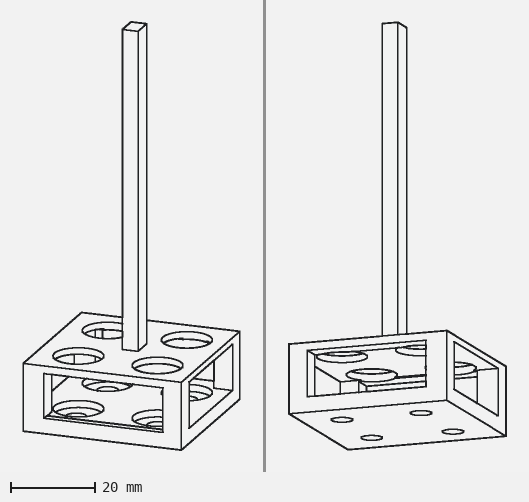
import cadquery as cq

base_side = 40.0
base_height = 17.0
total_height = 97.0

y_window_width = 30.0
y_window_centre_x = 0.3
y_window_floor = 3.8
y_window_ceiling = 15.0

sill_height = 0.1
sill_depth = 2.1

x_window_width = 29.5
x_window_centre_y = 0.2
x_window_floor = y_window_floor
x_window_ceiling = 15.3

seat_diameter = 12.0
seat_floor = 2.0
seat_spacing = 20.0
seat_pattern_x = 0.4
seat_pattern_y = -0.3
drain_diameter = 5.0
corner_drain_shift_x = -0.3
corner_drain_shift_y = -0.8

post_width = 4.0
post_depth = 6.0
post_x = 0.5
post_y = 0.8


def upright_box(size_x, size_y, bottom, top, x=0, y=0):
    """Box centred at (x, y) that spans Z from bottom to top."""
    height = top - bottom
    return cq.Workplane("XY").box(size_x, size_y, height).translate((x, y, bottom + height / 2))


def upright_cylinder(diameter, bottom, top, x, y):
    """Vertical cylinder at (x, y) that spans Z from bottom to top."""
    return cq.Workplane("XY", origin=(x, y, bottom)).circle(diameter / 2).extrude(top - bottom)


frame = upright_box(base_side, base_side, 0, base_height)
frame = frame.cut(
    upright_box(y_window_width, base_side, y_window_floor, y_window_ceiling, x=y_window_centre_x)
)
frame = frame.cut(
    upright_box(base_side, x_window_width, x_window_floor, x_window_ceiling, y=x_window_centre_y)
)

sill = upright_box(
    y_window_width,
    sill_depth,
    y_window_floor,
    y_window_floor + sill_height,
    x=y_window_centre_x,
    y=(sill_depth - base_side) / 2,
)
frame = frame.union(sill)

for side_x in (-1, 1):
    for side_y in (-1, 1):
        seat_x = seat_pattern_x + side_x * seat_spacing / 2
        seat_y = seat_pattern_y + side_y * seat_spacing / 2
        frame = frame.cut(upright_cylinder(seat_diameter, seat_floor, base_height, seat_x, seat_y))

        drain_x = seat_x
        drain_y = seat_y
        if side_x < 0 and side_y < 0:
            drain_x += corner_drain_shift_x
            drain_y += corner_drain_shift_y
        frame = frame.cut(upright_cylinder(drain_diameter, 0, seat_floor, drain_x, drain_y))

post = upright_box(post_width, post_depth, base_height, total_height, x=post_x, y=post_y)

result = frame.union(post)